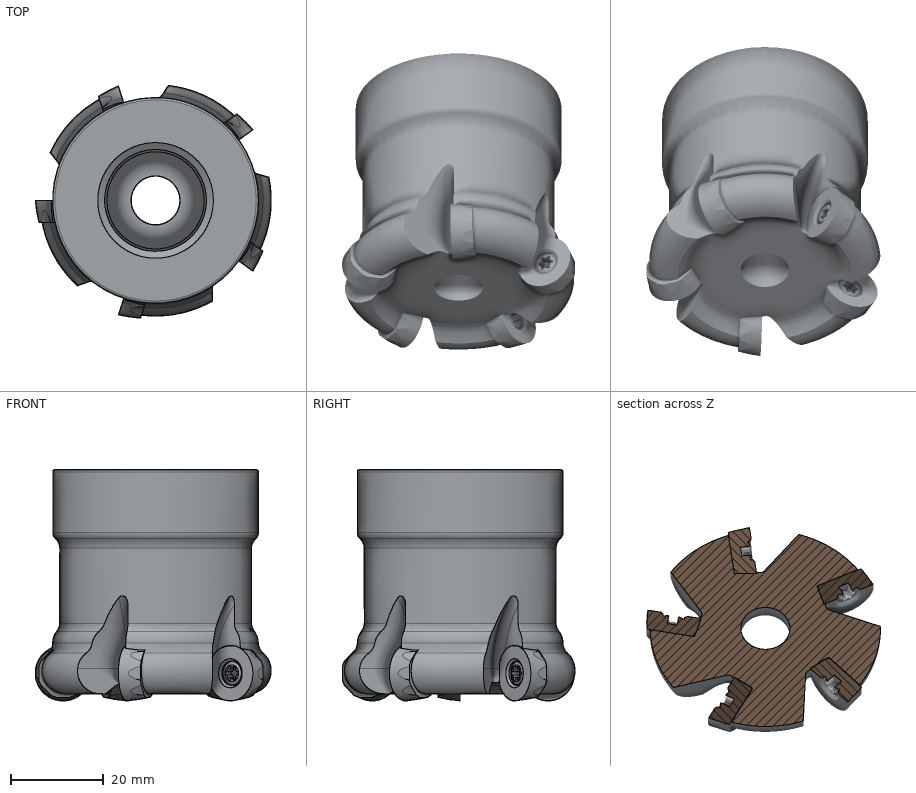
import cadquery as cq
import math


total_height = 50.0
insert_count = 5

insert_radius = 6.0
insert_thickness = 4.76
insert_clearance_angle = 7.0
insert_center_radius = 20.0
facet_count = 8
facet_length = 2.6
facet_back_distance = 5.2

recess_mouth_diameter = 6.3
recess_diameter = 5.25
recess_depth = 0.9
recess_cone_depth = 0.45
head_rise = 0.4
head_top_diameter = 3.6
socket_diameter = 3.5
socket_core_diameter = 2.6
socket_lobe_count = 6
socket_lobe_diameter = 0.75
socket_depth = 2.6

collar_radius = 44.48 / 2
neck_radius = 41.48 / 2
collar_edge_radius = 0.5
collar_bottom_z = 36.4
blend_radius = 2.8
collar_round_radius = 1.75
shoulder_z = 12.5
shoulder_round_radius = 4.1
rim_center_radius = insert_center_radius
rim_tube_radius = 5.0
underside_z = 4.0
underside_fillet_radius = 3.4
underside_fillet_outer_radius = 16.95
underside_cone_angle = 40.0

bore_diameter = 22.01
bore_chamfer_diameter = 25.0
bore_step_depth = 13.0
lower_bore_diameter = 21.0
lower_bore_depth = 20.0
through_hole_diameter = 10.5

gullet_wall_setback = 0.45
gullet_floor_angle = 46.3
gullet_root_radius = 12.45
gullet_runout_start_z = 7.06
gullet_runout_radius = 28.0
gullet_runout_height = 20.0
gullet_fillet_radius = 1.3
gullet_reach = 30.0


def on_circle(center, radius, angle):
    """Point on a circle of the revolved profile, as (radius, height)."""
    return (center[0] + radius * math.cos(angle), center[1] + radius * math.sin(angle))


def body_blank():
    """Revolved outside of the cutter body, with a rounded rim at the bottom and a dished underside."""
    center_gap = rim_tube_radius + blend_radius
    fillet_center = (collar_radius + blend_radius, shoulder_z)
    fillet_offset = fillet_center[0] - rim_center_radius
    rim_center_z = shoulder_z - math.sqrt(center_gap ** 2 - fillet_offset ** 2)
    rim_center = (rim_center_radius, rim_center_z)
    rim_bottom_z = rim_center_z - rim_tube_radius
    rim_joint_angle = math.asin((shoulder_z - rim_center_z) / center_gap)

    cone_angle = math.radians(underside_cone_angle)
    dish_center = (
        underside_fillet_outer_radius - underside_fillet_radius * math.sin(cone_angle),
        underside_z - underside_fillet_radius,
    )
    dish_end_z = dish_center[1] + underside_fillet_radius * math.cos(cone_angle)
    cone_bottom_radius = underside_fillet_outer_radius + (dish_end_z - rim_bottom_z) / math.tan(cone_angle)

    step = collar_radius - neck_radius
    low_turn = math.acos(1 - step / (shoulder_round_radius + blend_radius))
    low_neck_z = shoulder_z + (shoulder_round_radius + blend_radius) * math.sin(low_turn)
    shoulder_center = (collar_radius - shoulder_round_radius, shoulder_z)
    low_neck_center = (neck_radius + blend_radius, low_neck_z)

    high_turn = math.acos(1 - step / (collar_round_radius + blend_radius))
    high_neck_z = collar_bottom_z - (collar_round_radius + blend_radius) * math.sin(high_turn)
    collar_center = (collar_radius - collar_round_radius, collar_bottom_z)
    high_neck_center = (neck_radius + blend_radius, high_neck_z)

    blank = (
        cq.Workplane("XZ")
        .moveTo(0, underside_z)
        .lineTo(dish_center[0], underside_z)
        .threePointArc(
            on_circle(dish_center, underside_fillet_radius, (math.pi - cone_angle) / 2),
            (underside_fillet_outer_radius, dish_end_z),
        )
        .lineTo(cone_bottom_radius, rim_bottom_z)
        .lineTo(rim_center_radius, rim_bottom_z)
        .threePointArc(
            on_circle(rim_center, rim_tube_radius, 0),
            on_circle(rim_center, rim_tube_radius, rim_joint_angle),
        )
        .threePointArc(
            on_circle(fillet_center, blend_radius, math.pi + rim_joint_angle / 2),
            on_circle(fillet_center, blend_radius, math.pi),
        )
        .threePointArc(
            on_circle(shoulder_center, shoulder_round_radius, low_turn / 2),
            on_circle(shoulder_center, shoulder_round_radius, low_turn),
        )
        .threePointArc(
            on_circle(low_neck_center, blend_radius, math.pi + low_turn / 2),
            on_circle(low_neck_center, blend_radius, math.pi),
        )
        .lineTo(neck_radius, high_neck_z)
        .threePointArc(
            on_circle(high_neck_center, blend_radius, math.pi - high_turn / 2),
            on_circle(high_neck_center, blend_radius, math.pi - high_turn),
        )
        .threePointArc(
            on_circle(collar_center, collar_round_radius, -high_turn / 2),
            on_circle(collar_center, collar_round_radius, 0),
        )
        .lineTo(collar_radius, total_height)
        .lineTo(0, total_height)
        .close()
        .revolve(360, (0, 0, 0), (0, 1, 0))
    )
    return blank.faces(">Z").edges().fillet(collar_edge_radius)


def bore():
    """Stepped bore with a chamfered mouth."""
    chamfer = (bore_chamfer_diameter - bore_diameter) / 2
    return (
        cq.Workplane("XZ")
        .moveTo(0, total_height)
        .lineTo(bore_chamfer_diameter / 2, total_height)
        .lineTo(bore_diameter / 2, total_height - chamfer)
        .lineTo(bore_diameter / 2, total_height - bore_step_depth)
        .lineTo(lower_bore_diameter / 2, total_height - bore_step_depth)
        .lineTo(lower_bore_diameter / 2, total_height - lower_bore_depth)
        .lineTo(through_hole_diameter / 2, total_height - lower_bore_depth)
        .lineTo(through_hole_diameter / 2, 0)
        .lineTo(0, 0)
        .close()
        .revolve(360, (0, 0, 0), (0, 1, 0))
    )


def gullet():
    """Chip gullet for the insert on the -X axis: a flat wall, a floor running out upward, a root fillet."""
    angle = math.radians(gullet_floor_angle)
    floor_normal = cq.Vector(-math.sin(angle), -math.cos(angle), 0)
    floor_outward = cq.Vector(-math.cos(angle), math.sin(angle), 0)
    root = cq.Vector(-gullet_root_radius, -gullet_wall_setback, 0)

    def runout(height):
        drop = gullet_runout_radius - math.sqrt(gullet_runout_radius ** 2 - height ** 2)
        return (drop, gullet_runout_start_z + height)

    floor_plane = cq.Plane(root - floor_outward * gullet_reach, floor_normal, floor_outward)
    top_z = gullet_runout_start_z + gullet_runout_height
    swept = (
        cq.Workplane(floor_plane)
        .moveTo(0, 0)
        .lineTo(0, gullet_runout_start_z)
        .threePointArc(runout(gullet_runout_height / 2), runout(gullet_runout_height))
        .lineTo(gullet_reach, top_z)
        .lineTo(gullet_reach, 0)
        .close()
        .extrude(2 * gullet_reach)
    )
    ahead_of_wall = (
        cq.Workplane("XY")
        .box(4 * gullet_reach, 2 * gullet_reach, 4 * gullet_reach, centered=(True, False, True))
        .translate((0, -gullet_wall_setback, 0))
    )
    wedge = swept.intersect(ahead_of_wall)
    root_edges = wedge.faces("<Y").edges("(not <Z) and (not >Z) and (not <X)")
    return root_edges.fillet(gullet_fillet_radius)


def insert_blank():
    """Plain conical insert on the -X axis, with its cutting face in the XZ plane facing +Y."""
    back_radius = insert_radius - insert_thickness * math.tan(math.radians(insert_clearance_angle))
    return (
        cq.Workplane("XY")
        .moveTo(0, 0)
        .lineTo(insert_radius, 0)
        .lineTo(back_radius, -insert_thickness)
        .lineTo(0, -insert_thickness)
        .close()
        .revolve(360, (0, 0, 0), (0, 1, 0))
        .translate((-insert_center_radius, 0, insert_radius))
    )


def flank_facets():
    """Flat seating facets around the back of the insert flank."""
    facet_front = facet_length - insert_thickness
    front_distance = insert_radius + facet_front * math.tan(math.radians(insert_clearance_angle))
    facet = (
        cq.Workplane("XY")
        .moveTo(front_distance, facet_front)
        .lineTo(facet_back_distance, -insert_thickness)
        .lineTo(insert_radius, -insert_thickness)
        .lineTo(insert_radius, facet_front)
        .close()
        .extrude(insert_radius, both=True)
    )
    facets = cq.Workplane("XY")
    for index in range(facet_count):
        turned = facet.rotate((0, 0, 0), (0, 1, 0), index * 360 / facet_count)
        facets = facets.add(turned)
    return facets.combine().translate((-insert_center_radius, 0, insert_radius))


def screw_recess():
    """Countersunk recess around a raised screw head, with a six-lobed socket in the head."""
    recess = (
        cq.Workplane("XY")
        .lineTo(recess_mouth_diameter / 2, 0)
        .lineTo(recess_diameter / 2, -recess_cone_depth)
        .lineTo(recess_diameter / 2, -recess_depth)
        .lineTo(head_top_diameter / 2, head_rise - recess_depth)
        .lineTo(0, head_rise - recess_depth)
        .close()
        .revolve(360, (0, 0, 0), (0, 1, 0))
    )
    lobe_circle_radius = (socket_diameter - socket_lobe_diameter) / 2
    socket = cq.Workplane("XZ").circle(socket_core_diameter / 2).extrude(socket_depth)
    lobes = (
        cq.Workplane("XZ")
        .polarArray(lobe_circle_radius, 0, 360, socket_lobe_count)
        .circle(socket_lobe_diameter / 2)
        .extrude(socket_depth)
    )
    cutter = recess.union(socket.union(lobes))
    return cutter.translate((-insert_center_radius, 0, insert_radius))


def placed(shape, index):
    """Turn a shape from the first insert position to another one."""
    return shape.rotate((0, 0, 0), (0, 0, 1), index * 360 / insert_count)


pocket = insert_blank()
first_insert = pocket.cut(flank_facets()).cut(screw_recess())
inserts = [placed(first_insert, index) for index in range(insert_count)]

body = body_blank().cut(bore())
first_gullet = gullet()
for index in range(insert_count):
    body = body.cut(placed(first_gullet, index)).cut(placed(pocket, index))

result = cq.Compound.makeCompound([body.val(), *[insert.val() for insert in inserts]])